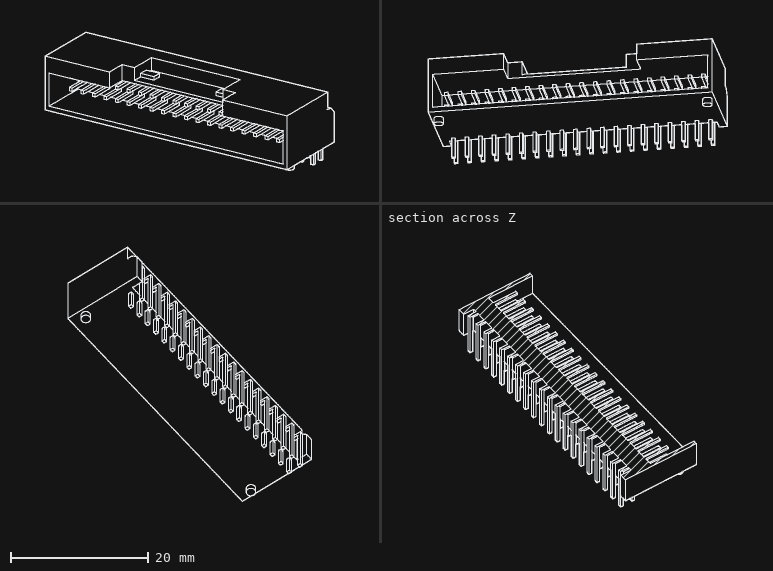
import cadquery as cq


length = 42.0
depth = 10.9
height = 8.5

side_wall = 0.67
roof = 2.5
floor = 0.75
cavity_depth = 7.75

notch_width = 19.65
notch_depth = 3.4
pocket_width = 15.37
pocket_back = 7.95
pocket_drop = 2.0

block_length = 2.3
block_front = 5.05
block_back = 6.55
block_height = 0.55

ear_width = 1.2
ear_reach = 1.75
ear_height = 5.7
ear_chamfer = 0.95

peg_diameter = 1.4
peg_height = 0.9
peg_inset = 1.15
peg_y = 2.45

pin_rows = 2
pin_columns = 20
column_span = 38.0
pitch = column_span / (pin_columns - 1)
pin_size = 0.5
lower_row_z = 2.4
tail_length = 3.02
rear_tail_gap = 0.65
pin_tip_y = 3.8

rear_y = depth + ear_reach
rear_tail_y = rear_y - rear_tail_gap


def box(x_min, x_max, y_min, y_max, z_min, z_max):
    """Box given by its limits along each axis."""
    size = (x_max - x_min, y_max - y_min, z_max - z_min)
    return cq.Workplane("XY").box(*size, centered=False).translate((x_min, y_min, z_min))


def centred_box(width, y_min, y_max, z_min, z_max):
    """Box centred on the mid-plane."""
    return box(-width / 2, width / 2, y_min, y_max, z_min, z_max)


def make_shell():
    """Housing block with its cavity and the stepped latch opening."""
    shell = centred_box(length, 0, depth, 0, height)
    cavity = centred_box(length - 2 * side_wall, 0, cavity_depth, floor, height - roof)
    notch = centred_box(notch_width, 0, notch_depth, height - roof, height)
    pocket = centred_box(pocket_width, notch_depth, pocket_back, height - pocket_drop, height)
    return shell.cut(cavity).cut(notch).cut(pocket)


def make_left_details():
    """Latch block, ear and peg at the -X end."""
    left = -length / 2
    pocket_left = -pocket_width / 2
    pocket_floor = height - pocket_drop
    block = box(
        pocket_left, pocket_left + block_length,
        block_front, block_back,
        pocket_floor, pocket_floor + block_height,
    )
    ear = box(left, left + ear_width, depth, rear_y, 0, ear_height)
    ear = ear.edges(">Y and >Z").chamfer(ear_chamfer)
    peg = (
        cq.Workplane("XY")
        .center(left + peg_inset, peg_y)
        .circle(peg_diameter / 2)
        .extrude(-peg_height)
    )
    return [block, ear, peg]


def make_pin(x, z, tail_y):
    """Right-angle pin: a contact along Y and a tail down through the board."""
    half = pin_size / 2
    contact = box(x - half, x + half, pin_tip_y, tail_y + half, z - half, z + half)
    tail = box(x - half, x + half, tail_y - half, tail_y + half, -tail_length, z + half)
    return contact.union(tail)


result = make_shell()

for detail in make_left_details():
    result = result.union(detail).union(detail.mirror("YZ"))

for column in range(pin_columns):
    pin_x = column * pitch - column_span / 2
    for row in range(pin_rows):
        row_z = lower_row_z + row * pitch
        row_tail_y = rear_tail_y - (pin_rows - 1 - row) * pitch
        result = result.union(make_pin(pin_x, row_z, row_tail_y))